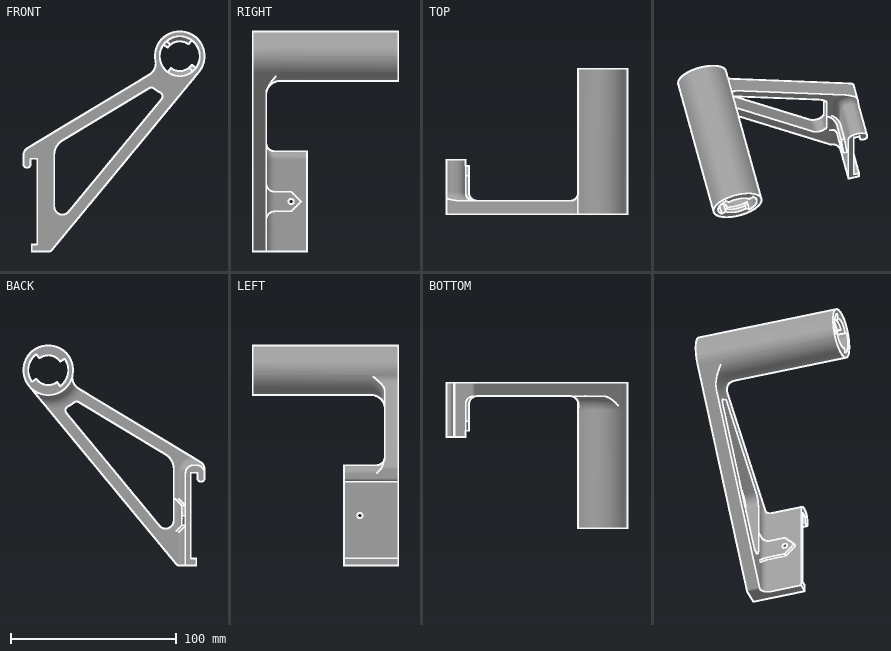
import cadquery as cq
import math

HOOK_WIDTH = 4.4
HOOK_TIP_Z = 50.5
SLOT_TOP_Z = 56.0
WALL_FACE_X = 8.2
WALL_BACK_X = 11.5
FOOT_FACE_X = 4.9
FOOT_HEIGHT = 4.4
HEAD_TOP_Z = 60.6
CORNER_RADIUS = 5.0
HEAD_BACK_RADIUS = 4.9

PLATE_THICKNESS = 8.2
WALL_DEPTH = 33.0
TUBE_LENGTH = 88.0

TUBE_RADIUS = 30.0 / 2
BORE_RADIUS = 24.0 / 2
TUBE_X = 109.4 - TUBE_RADIUS
TUBE_Z = 132.9 - TUBE_RADIUS
TUBE_ROOT_RADIUS = 8.2
TUBE_NECK_RADIUS = 7.7

BAR_START_Z = 61.0
TOE_X = 16.5
TOE_RADIUS = 2.0

BAR_WIDTH = 7.0
WINDOW_LEFT_X = 18.7
WINDOW_CAP_RADIUS = 25.0
WINDOW_UPPER_RADIUS = 10.0
WINDOW_LOWER_RADIUS = 4.8
WINDOW_CAP_CORNER_RADIUS = 2.5

SCREW_DIAMETER = 3.0
SCREW_Y = 23.3
SCREW_Z = 30.2
PAD_HALF_HEIGHT = 6.0
PAD_BACK_X = 13.7
WALL_ROOT_RADIUS = 4.9

LUG_INNER_RADIUS = 8.9
LUG_START_ANGLE = 53.0
LUG_SPAN = 92.0
LUG_LENGTH = 5.3
STOP_SPAN = 15.0
STOP_LENGTH = 8.0

SPARE = 26.6

UPPER_ANGLE = math.atan2(TUBE_Z - BAR_START_Z, TUBE_X)
TOE_TO_TUBE = math.hypot(TUBE_X - TOE_X, TUBE_Z)
LOWER_ANGLE = math.atan2(TUBE_Z, TUBE_X - TOE_X) - math.asin(TUBE_RADIUS / TOE_TO_TUBE)


def prism(points, depth):
    """Extrude a closed XZ polygon back from the front face."""
    return cq.Workplane("XZ").polyline(points).close().extrude(-depth)


def cylinder(radius, x, z, length):
    """Cylinder parallel to Y, starting at the front face."""
    return cq.Workplane("XZ").center(x, z).circle(radius).extrude(-length)


def tube_cylinder(radius, length):
    """Cylinder on the tube axis, starting at the front face."""
    return cylinder(radius, TUBE_X, TUBE_Z, length)


def round_corner(body, x, z, radius):
    """Round the edge parallel to Y that lies nearest to (x, z)."""
    middle_y = body.val().BoundingBox().center.y
    return body.edges("|Y").edges(cq.NearestToPointSelector((x, middle_y, z))).fillet(radius)


def bracket_outline():
    """Outer profile of the whole part, as deep as the tube is long."""
    tangent_x = TUBE_X + TUBE_RADIUS * math.sin(LOWER_ANGLE)
    tangent_z = TUBE_Z - TUBE_RADIUS * math.cos(LOWER_ANGLE)
    tip_radius = HOOK_WIDTH / 2
    tip_centre_z = HOOK_TIP_Z + tip_radius
    points = [
        (0, tip_centre_z),
        (HOOK_WIDTH, tip_centre_z),
        (HOOK_WIDTH, SLOT_TOP_Z),
        (WALL_FACE_X, SLOT_TOP_Z),
        (WALL_FACE_X, FOOT_HEIGHT),
        (FOOT_FACE_X, FOOT_HEIGHT),
        (FOOT_FACE_X, 0),
        (TOE_X, 0),
        (tangent_x, tangent_z),
        (TUBE_X, TUBE_Z),
        (0, BAR_START_Z),
    ]
    hook_tip = cylinder(tip_radius, tip_radius, tip_centre_z, TUBE_LENGTH)
    body = prism(points, TUBE_LENGTH).union(hook_tip)
    body = body.union(tube_cylinder(TUBE_RADIUS, TUBE_LENGTH))
    neck_x = TUBE_X - TUBE_RADIUS * math.cos(UPPER_ANGLE)
    neck_z = TUBE_Z - TUBE_RADIUS * math.sin(UPPER_ANGLE)
    body = round_corner(body, neck_x, neck_z, TUBE_NECK_RADIUS)
    body = round_corner(body, 0, BAR_START_Z, CORNER_RADIUS)
    return round_corner(body, TOE_X, 0, TOE_RADIUS)


def wall_stock():
    """Wall block with its rounded head and the pad that backs the screw hole."""
    wall_points = [(0, -SPARE), (WALL_BACK_X, -SPARE), (WALL_BACK_X, HEAD_TOP_Z), (0, HEAD_TOP_Z)]
    wall = prism(wall_points, WALL_DEPTH)
    wall = round_corner(wall, 0, HEAD_TOP_Z, CORNER_RADIUS)
    wall = round_corner(wall, WALL_BACK_X, HEAD_TOP_Z, HEAD_BACK_RADIUS)
    pad_points = [
        (0, SCREW_Z - PAD_HALF_HEIGHT),
        (SCREW_Y, SCREW_Z - PAD_HALF_HEIGHT),
        (SCREW_Y + PAD_HALF_HEIGHT, SCREW_Z),
        (SCREW_Y, SCREW_Z + PAD_HALF_HEIGHT),
        (0, SCREW_Z + PAD_HALF_HEIGHT),
    ]
    pad_plane = cq.Workplane("YZ", origin=(WALL_FACE_X, 0, 0))
    pad = pad_plane.polyline(pad_points).close().extrude(PAD_BACK_X - WALL_FACE_X)
    return wall.union(pad)


def plate_stock():
    """Oversize plate, so that root fillets run past the outline before trimming."""
    left, right = -SPARE, TUBE_X + 2 * SPARE
    bottom, top = -2 * SPARE, TUBE_Z + 2 * SPARE
    return prism([(left, bottom), (right, bottom), (right, top), (left, top)], PLATE_THICKNESS)


def round_root(raised, x_limits, z_limits, radius):
    """Join a raised body to the plate and fillet its root inside the given XZ limits."""
    margin = 0.01
    low_corner = (x_limits[0], PLATE_THICKNESS - margin, z_limits[0])
    high_corner = (x_limits[1], PLATE_THICKNESS + margin, z_limits[1])
    root = cq.selectors.BoxSelector(low_corner, high_corner, boundingbox=True)
    return plate_stock().union(raised).edges(root).fillet(radius)


def triangular_window():
    """Opening between the bars, capped by an arc concentric with the tube."""
    upper_z = BAR_START_Z + WINDOW_LEFT_X * math.tan(UPPER_ANGLE) - BAR_WIDTH / math.cos(UPPER_ANGLE)
    lower_z = (WINDOW_LEFT_X - TOE_X) * math.tan(LOWER_ANGLE) + BAR_WIDTH / math.cos(LOWER_ANGLE)
    tip_run = (upper_z - lower_z) / (math.tan(LOWER_ANGLE) - math.tan(UPPER_ANGLE))
    tip = (WINDOW_LEFT_X + tip_run, upper_z + tip_run * math.tan(UPPER_ANGLE))
    triangle = prism([(WINDOW_LEFT_X, lower_z), tip, (WINDOW_LEFT_X, upper_z)], PLATE_THICKNESS)
    opening = triangle.cut(tube_cylinder(WINDOW_CAP_RADIUS, PLATE_THICKNESS))
    opening = round_corner(opening, WINDOW_LEFT_X, upper_z, WINDOW_UPPER_RADIUS)
    opening = round_corner(opening, WINDOW_LEFT_X, lower_z, WINDOW_LOWER_RADIUS)
    cap = opening.faces(cq.NearestToPointSelector((tip[0], PLATE_THICKNESS / 2, tip[1])))
    return cap.edges("|Y").fillet(WINDOW_CAP_CORNER_RADIUS)


def bore_lug(start_angle, span, ramp_start_y):
    """Ring sector in the bore: a 45 degree ramp, then constant height to the far end."""
    height = BORE_RADIUS - LUG_INNER_RADIUS
    embedded_radius = (BORE_RADIUS + TUBE_RADIUS) / 2
    section = [
        (LUG_INNER_RADIUS, TUBE_LENGTH),
        (embedded_radius, TUBE_LENGTH),
        (embedded_radius, ramp_start_y),
        (BORE_RADIUS, ramp_start_y),
        (LUG_INNER_RADIUS, ramp_start_y + height),
    ]
    lug = cq.Workplane("XY").polyline(section).close().revolve(span, (0, 0, 0), (0, -1, 0))
    return lug.rotate((0, 0, 0), (0, -1, 0), start_angle).translate((TUBE_X, 0, TUBE_Z))


wall_side = round_root(
    wall_stock(), (-SPARE / 2, PAD_BACK_X + 1.3), (-1.5 * SPARE, HEAD_TOP_Z + 1.3), WALL_ROOT_RADIUS
)
tube_side = round_root(
    tube_cylinder(TUBE_RADIUS, TUBE_LENGTH),
    (TUBE_X - SPARE, TUBE_X + SPARE),
    (TUBE_Z - SPARE, TUBE_Z + SPARE),
    TUBE_ROOT_RADIUS,
)

bracket = wall_side.union(tube_side).intersect(bracket_outline())
bracket = bracket.cut(triangular_window()).cut(tube_cylinder(BORE_RADIUS, TUBE_LENGTH))
screw_plane = cq.Workplane("YZ").center(SCREW_Y, SCREW_Z)
screw_hole = screw_plane.circle(SCREW_DIAMETER / 2).extrude(WINDOW_LEFT_X)
bracket = bracket.cut(screw_hole)

for half_turn in (0, 180):
    lug_angle = LUG_START_ANGLE + half_turn
    stop_angle = lug_angle + LUG_SPAN - STOP_SPAN
    bracket = bracket.union(bore_lug(lug_angle, LUG_SPAN, TUBE_LENGTH - LUG_LENGTH))
    bracket = bracket.union(bore_lug(stop_angle, STOP_SPAN, TUBE_LENGTH - STOP_LENGTH))

result = bracket